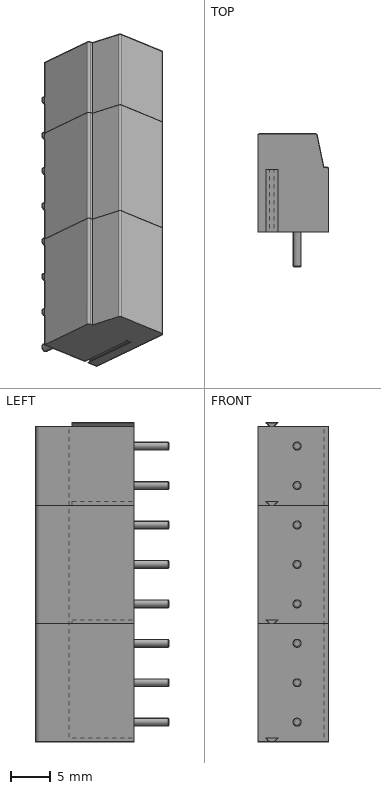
import cadquery as cq

overall_height = 40.5
overall_depth = 16.9
width = 9.0

module_pin_counts = [3, 3, 2]

rail_height = 0.5
rail_base_width = 0.55
rail_top_width = rail_base_width + 2 * rail_height
rail_center_x = 1.8
rail_length = 7.9

pin_pitch = (overall_height - rail_height) / sum(module_pin_counts)
pin_diameter = 1.0
pin_length = 4.4
pin_tip_radius = 0.15
pin_x = 5.0

housing_depth = overall_depth - pin_length
back_width = 7.5
slope_end_x = 8.4
shoulder_y = 8.22
edge_radius = 0.3


def make_housing(height):
    """Extruded block with one sloped side and rounded edges."""
    outline = [
        (0, 0),
        (width, 0),
        (width, shoulder_y),
        (slope_end_x, shoulder_y),
        (back_width, housing_depth),
        (0, housing_depth),
    ]
    block = cq.Workplane("XY").polyline(outline).close().extrude(height)
    rounded_corners = [
        (width, shoulder_y),
        (back_width, housing_depth),
        (0, housing_depth),
    ]
    for x, y in rounded_corners:
        block = block.edges(cq.selectors.NearestToPointSelector((x, y, height / 2))).fillet(edge_radius)
    return block


def make_rail(base_z):
    """Dovetail prism that widens upwards from base_z and runs back from the pin face."""
    top_z = base_z + rail_height
    section = [
        (rail_center_x - rail_base_width / 2, base_z),
        (rail_center_x + rail_base_width / 2, base_z),
        (rail_center_x + rail_top_width / 2, top_z),
        (rail_center_x - rail_top_width / 2, top_z),
    ]
    return cq.Workplane("XZ").polyline(section).close().extrude(-rail_length)


def make_pin(z):
    """Round pin with a rounded tip edge, pointing along -Y from the pin face."""
    pin = cq.Workplane("XZ").center(pin_x, z).circle(pin_diameter / 2).extrude(pin_length)
    return pin.faces("<Y").fillet(pin_tip_radius)


def make_module(pin_count, bottom_z):
    """One module: housing, groove below, rail on top and its moulded-in pins."""
    height = pin_count * pin_pitch
    module = make_housing(height).cut(make_rail(0)).union(make_rail(height))
    for index in range(pin_count):
        module = module.union(make_pin((index + 0.5) * pin_pitch))
    return module.translate((0, 0, bottom_z))


modules = []
bottom_z = 0
for pin_count in module_pin_counts:
    modules.append(make_module(pin_count, bottom_z).val())
    bottom_z += pin_count * pin_pitch

result = cq.Compound.makeCompound(modules)